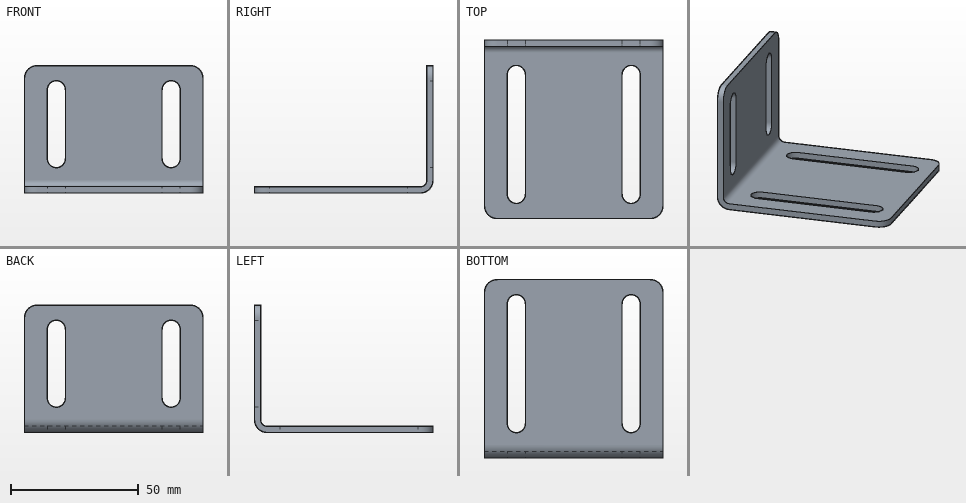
import cadquery as cq

width = 70.0
base_depth = 70.0
flange_height = 50.0
thickness = 2.5

inner_bend_radius = 2.5
outer_bend_radius = inner_bend_radius + thickness
corner_radius = 5.0

slot_width = 7.0
slot_spacing = 45.0
slot_bend_margin = 10.0
slot_edge_margin = 6.0


def bent_sheet():
    """L-shaped sheet: base on Z = 0, flange with its outer face on Y = 0."""
    outline = (
        cq.Workplane("YZ")
        .moveTo(0, 0)
        .lineTo(0, flange_height)
        .lineTo(-thickness, flange_height)
        .lineTo(-thickness, thickness)
        .lineTo(-base_depth, thickness)
        .lineTo(-base_depth, 0)
        .close()
    )
    sheet = outline.extrude(width / 2, both=True)
    inner_bend_edge = cq.selectors.NearestToPointSelector((0, -thickness, thickness))
    outer_bend_edge = cq.selectors.NearestToPointSelector((0, 0, 0))
    sheet = sheet.edges("|X").edges(inner_bend_edge).fillet(inner_bend_radius)
    return sheet.edges("|X").edges(outer_bend_edge).fillet(outer_bend_radius)


def round_free_corners(sheet):
    """Round the two free corners of each leg."""
    sheet = sheet.faces("<Y").edges("|Z").fillet(corner_radius)
    return sheet.faces(">Z").edges("|Y").fillet(corner_radius)


def slot_pair(plane, leg_length, direction):
    """Two slot cutters for a leg reaching from the bend along the plane's local Y times direction."""
    slot_length = leg_length - slot_bend_margin - slot_edge_margin
    slot_center = direction * (slot_bend_margin + slot_length / 2)
    return (
        cq.Workplane(plane)
        .pushPoints([(side * slot_spacing / 2, slot_center) for side in (-1, 1)])
        .slot2D(slot_length, slot_width, 90)
        .extrude(thickness)
    )


bracket = round_free_corners(bent_sheet())
base_slots = slot_pair("XY", base_depth, -1)
flange_slots = slot_pair("XZ", flange_height, 1)
result = bracket.cut(base_slots).cut(flange_slots)